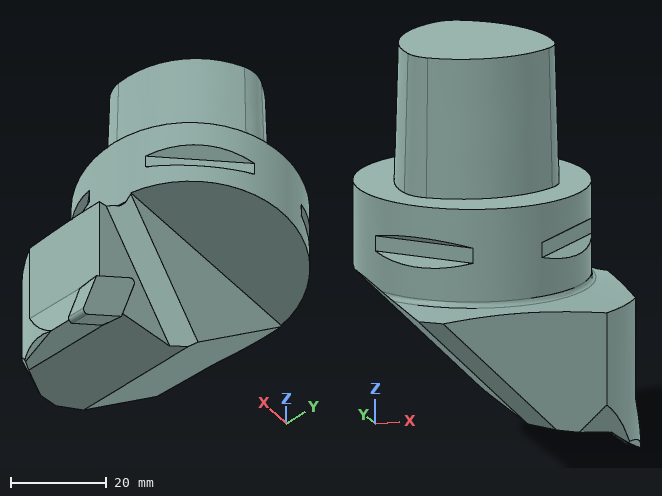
import cadquery as cq
import math

SHANK_HEIGHT = 30.0
LOBE_CENTRE_RADIUS = 10.58
FLANK_CENTRE_RADIUS = 7.0
LOBE_RADIUS_TOP = 7.0
LOBE_RADIUS_BASE = 7.85

FLANGE_RADIUS = 25.0
FLANGE_BOTTOM_Z = -18.0

GROOVE_COUNT = 4
GROOVE_Z = -10.0
GROOVE_FLOOR_HEIGHT = 3.25
GROOVE_DEPTH = 2.77
GROOVE_WALL_ANGLE = 30.0

HEAD_RADIUS = 35.3
HEAD_FRONT_Y = -29.0
HEAD_BACK_Y = 4.27
HEAD_SIDE_X = 29.8
HEAD_SIDE_BOTTOM_Z = -45.0
NECK_BOTTOM_Z = -20.0
NECK_FILLET = 1.15
SHOULDER_ANGLE = 13.0
HEEL = (3.8, -46.8)
HEEL_END = (22.3, -50.15)
HOLDER_TIP = (33.95, -58.5)
SLANT_CHAMFER = 3.1

RECESS_LINE_LOW = (6.8, -47.3)
RECESS_LINE_HIGH = (27.6, -21.5)

CORNER_RELIEF = ((20.0, -29.0, -43.3), (14.1, -29.0, -48.6), (27.2, -22.4, -53.2))
TIP_RELIEF = ((27.2, -22.4, -53.4), (33.95, -9.7, -58.5), (31.6, -15.7, -55.1))

INSERT_INSCRIBED_RADIUS = 9.525 / 2
INSERT_HALF_ANGLE = math.radians(35.0 / 2)
INSERT_THICKNESS = 4.76
INSERT_CLEARANCE = math.radians(5.0)
INSERT_AXIS_ANGLE = math.radians(55.0)
NOSE_RADIUS = 0.8
NOSE_REACH_X = 35.0
NOSE_REACH_Z = -60.0

CUT_SIZE = 100.0


def polar(radius, degrees):
    angle = math.radians(degrees)
    return (radius * math.cos(angle), radius * math.sin(angle))


def add(point, shift):
    return (point[0] + shift[0], point[1] + shift[1])


def shank_outline(sketch, lobe_radius):
    """Three lobe arcs, each joined tangentially to the next by a flank arc."""
    across = LOBE_CENTRE_RADIUS * math.sin(math.radians(60))
    forward = FLANK_CENTRE_RADIUS + LOBE_CENTRE_RADIUS * math.cos(math.radians(60))
    flank_half_angle = math.degrees(math.atan2(across, forward))
    flank_middle = math.hypot(across, forward) + lobe_radius - FLANK_CENTRE_RADIUS
    lobe_half_angle = 60 - flank_half_angle

    def seam(lobe_angle, side):
        centre = polar(LOBE_CENTRE_RADIUS, lobe_angle)
        return add(centre, polar(lobe_radius, lobe_angle + side * lobe_half_angle))

    lobe_angles = (90, 210, 330)
    outline = sketch.moveTo(*seam(lobe_angles[0], -1))
    for angle in lobe_angles:
        lobe_tip = polar(LOBE_CENTRE_RADIUS + lobe_radius, angle)
        outline = outline.threePointArc(lobe_tip, seam(angle, 1))
        outline = outline.threePointArc(polar(flank_middle, angle + 60), seam(angle + 120, -1))
    return outline.close()


def make_shank():
    base = shank_outline(cq.Workplane("XY"), LOBE_RADIUS_BASE)
    both = shank_outline(base.workplane(offset=SHANK_HEIGHT), LOBE_RADIUS_TOP)
    return both.loft(ruled=True, combine=True)


def make_flange():
    flange = cq.Workplane("XY").circle(FLANGE_RADIUS).extrude(FLANGE_BOTTOM_Z)
    floor_x = FLANGE_RADIUS - GROOVE_DEPTH
    mouth_x = FLANGE_RADIUS + GROOVE_DEPTH
    floor_half = GROOVE_FLOOR_HEIGHT / 2
    mouth_half = floor_half + (mouth_x - floor_x) * math.tan(math.radians(GROOVE_WALL_ANGLE))
    groove = (
        cq.Workplane("XZ")
        .moveTo(floor_x, GROOVE_Z - floor_half)
        .lineTo(mouth_x, GROOVE_Z - mouth_half)
        .lineTo(mouth_x, GROOVE_Z + mouth_half)
        .lineTo(floor_x, GROOVE_Z + floor_half)
        .close()
        .extrude(FLANGE_RADIUS, both=True)
    )
    step = 360.0 / GROOVE_COUNT
    for index in range(GROOVE_COUNT):
        flange = flange.cut(groove.rotate((0, 0, 0), (0, 0, 1), step * (index + 0.5)))
    return flange


def make_turned_blank():
    """Neck, concave fillet and conical shoulder, turned about the Z axis."""
    slope = math.radians(SHOULDER_ANGLE)
    fillet_end = (
        FLANGE_RADIUS + NECK_FILLET * (1 - math.sin(slope)),
        NECK_BOTTOM_Z - NECK_FILLET * math.cos(slope),
    )
    rim_z = fillet_end[1] - (HEAD_RADIUS - fillet_end[0]) * math.tan(slope)
    return (
        cq.Workplane("XZ")
        .moveTo(0, FLANGE_BOTTOM_Z)
        .lineTo(FLANGE_RADIUS, FLANGE_BOTTOM_Z)
        .lineTo(FLANGE_RADIUS, NECK_BOTTOM_Z)
        .tangentArcPoint(fillet_end, relative=False)
        .lineTo(HEAD_RADIUS, rim_z)
        .lineTo(HEAD_RADIUS, HOLDER_TIP[1])
        .lineTo(0, HOLDER_TIP[1])
        .close()
        .revolve(360, (0, 0, 0), (0, 1, 0))
    )


def make_head_block():
    """Side outline of the head, with the front edge of its slanted face chamfered."""
    slant_rise = FLANGE_BOTTOM_Z - HEEL[1]
    block = (
        cq.Workplane("XZ", origin=(0, HEAD_BACK_Y, 0))
        .moveTo(HEEL[0] - slant_rise, FLANGE_BOTTOM_Z)
        .lineTo(*HEEL)
        .lineTo(*HEEL_END)
        .lineTo(*HOLDER_TIP)
        .lineTo(HEAD_SIDE_X, HEAD_SIDE_BOTTOM_Z)
        .lineTo(HEAD_SIDE_X, FLANGE_BOTTOM_Z)
        .close()
        .extrude(HEAD_BACK_Y - HEAD_FRONT_Y)
    )
    slant_middle = (HEEL[0] - slant_rise / 2, HEAD_FRONT_Y, HEEL[1] + slant_rise / 2)
    slant_edge = cq.selectors.NearestToPointSelector(slant_middle)
    return block.edges(slant_edge).chamfer(SLANT_CHAMFER)


def half_space(points):
    """Large block on the lower side of the plane through three points."""
    origin, second, third = (cq.Vector(*point) for point in points)
    normal = (second - origin).cross(third - origin)
    if normal.z > 0:
        normal = normal * -1
    plane = cq.Plane(origin=origin, xDir=second - origin, normal=normal)
    return cq.Workplane(plane).rect(CUT_SIZE, CUT_SIZE).extrude(CUT_SIZE)


def make_chip_recess():
    """Space behind y = 0 on the tip side of the 45 degree ramp."""
    low = cq.Vector(RECESS_LINE_LOW[0], 0, RECESS_LINE_LOW[1])
    high = cq.Vector(RECESS_LINE_HIGH[0], 0, RECESS_LINE_HIGH[1])
    along = (high - low).normalized()
    toward_tip = along.cross(cq.Vector(0, 1, 0)) * -1
    plane = cq.Plane(origin=low, xDir=toward_tip, normal=toward_tip.cross(cq.Vector(0, 1, 0)))
    return (
        cq.Workplane(plane)
        .polyline([(0, 0), (CUT_SIZE, 0), (CUT_SIZE, CUT_SIZE), (-CUT_SIZE, CUT_SIZE)])
        .close()
        .extrude(CUT_SIZE, both=True)
    )


def insert_outline(sketch, inscribed_radius, nose_radius):
    """Rhombus along local x with both acute corners rounded."""
    half_length = inscribed_radius / math.sin(INSERT_HALF_ANGLE)
    half_width = inscribed_radius / math.cos(INSERT_HALF_ANGLE)
    nose_centre = half_length - nose_radius / math.sin(INSERT_HALF_ANGLE)
    nose_x = nose_centre + nose_radius * math.sin(INSERT_HALF_ANGLE)
    nose_y = nose_radius * math.cos(INSERT_HALF_ANGLE)
    nose_end = nose_centre + nose_radius
    return (
        sketch.moveTo(0, half_width)
        .lineTo(-nose_x, nose_y)
        .threePointArc((-nose_end, 0), (-nose_x, -nose_y))
        .lineTo(0, -half_width)
        .lineTo(nose_x, -nose_y)
        .threePointArc((nose_end, 0), (nose_x, nose_y))
        .close()
    )


def make_insert():
    axis = (math.cos(INSERT_AXIS_ANGLE), -math.sin(INSERT_AXIS_ANGLE))
    centre_to_nose = (INSERT_INSCRIBED_RADIUS - NOSE_RADIUS) / math.sin(INSERT_HALF_ANGLE)
    centre_x = NOSE_REACH_X - NOSE_RADIUS - centre_to_nose * axis[0]
    centre_z = NOSE_REACH_Z + NOSE_RADIUS - centre_to_nose * axis[1]
    rake_plane = cq.Plane(
        origin=(centre_x, 0, centre_z), xDir=(axis[0], 0, axis[1]), normal=(0, -1, 0)
    )
    back_inset = INSERT_THICKNESS * math.tan(INSERT_CLEARANCE)
    rake = insert_outline(cq.Workplane(rake_plane), INSERT_INSCRIBED_RADIUS, NOSE_RADIUS)
    both = insert_outline(
        rake.workplane(offset=INSERT_THICKNESS),
        INSERT_INSCRIBED_RADIUS - back_inset,
        NOSE_RADIUS,
    )
    return both.loft(ruled=True, combine=True)


def make_head():
    head = make_turned_blank().intersect(make_head_block())
    head = head.cut(half_space(CORNER_RELIEF))
    head = head.cut(half_space(TIP_RELIEF))
    return head.cut(make_chip_recess())


insert = make_insert()
holder = make_flange().union(make_shank()).union(make_head()).cut(insert)

result = cq.Compound.makeCompound([holder.solids().val(), insert.val()])